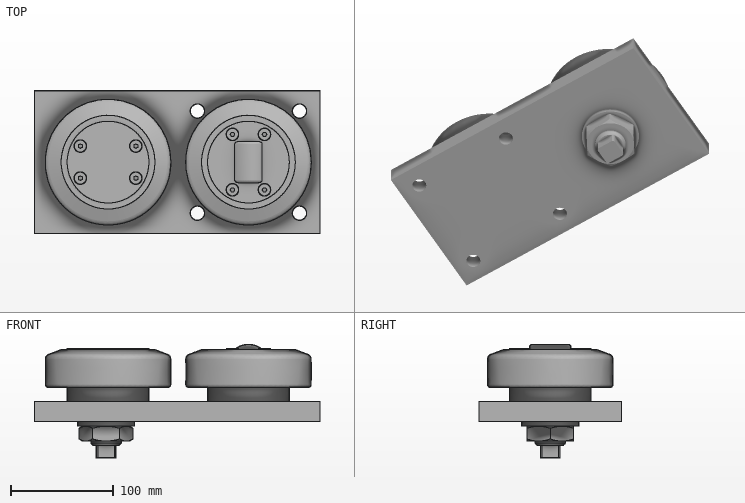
import cadquery as cq
import math

plate_length = 280.0
plate_width = 140.0
plate_thickness = 20.0
mount_hole_diameter = 13.7
mount_hole_spacing = 100.0

unit_offset = 69.7
eccentricity = 2.0
neck_diameter = 80.0
roller_bottom = 13.7
roller_top = 50.7
rim_diameter = 91.8
wall_radius = 61.3
wall_crown = 0.3
shoulder_height = 44.8
top_fillet = 5.0
bottom_fillet = 2.8

plain_cover_rise = 0.8
open_cover_rise = 0.3
screw_spacing_long = 54.3
screw_spacing_short = 31.5
screw_diameter = 11.8
screw_hole_diameter = 12.3
plain_cover_screw_rise = 0.5
open_cover_screw_rise = 0.8
screw_gap_depth = 0.5
socket_flats = 4.0
socket_depth = 1.0

cross_roller_radius = 21.0
cross_roller_crown = 0.15
cross_roller_length = 40.5
cross_roller_fillet = 2.8
cross_roller_top = 56.0

washer_diameter = 56.0
washer_thickness = 4.5
nut_flats = 46.0
nut_height = 14.5
nut_chamfer_angle = 30.0
stud_diameter = 30.0
stud_rise = 4.5
stud_chamfer = 2.5
square_size = 19.3
square_corner_diameter = 25.2
overall_height = 111.5
stud_bottom = cross_roller_top - overall_height


def cylinder(x, bottom, top, diameter):
    return cq.Workplane("XY", origin=(x, 0, bottom)).circle(diameter / 2).extrude(top - bottom)


def hexagon(flats, height):
    """Hexagonal prism from Z = 0 upward, with two corners on the X axis."""
    return cq.Workplane("XY").polygon(6, flats / math.cos(math.pi / 6)).extrude(height)


def make_plate():
    plate = cq.Workplane("XY").box(plate_length, plate_width, plate_thickness, centered=(True, True, False))
    holes = (
        cq.Workplane("XY")
        .center(unit_offset, 0)
        .rect(mount_hole_spacing, mount_hole_spacing, forConstruction=True)
        .vertices()
        .circle(mount_hole_diameter / 2)
        .extrude(plate_thickness)
    )
    return plate.cut(holes).translate((0, 0, -plate_thickness))


def make_roller(x):
    """Neck and roller with a slightly crowned wall and a conical top shoulder."""
    wall_middle = (roller_bottom + shoulder_height) / 2
    roller = (
        cq.Workplane("XZ")
        .moveTo(0, roller_bottom)
        .lineTo(wall_radius, roller_bottom)
        .threePointArc((wall_radius + wall_crown, wall_middle), (wall_radius, shoulder_height))
        .lineTo(rim_diameter / 2, roller_top)
        .lineTo(0, roller_top)
        .close()
        .revolve(360, (0, 0, 0), (0, 1, 0))
    )
    roller = roller.edges("%CIRCLE").edges(">>Z[-2]").fillet(top_fillet)
    roller = roller.faces("<Z").edges().fillet(bottom_fillet)
    return roller.translate((x, 0, 0)).union(cylinder(x, 0, roller_bottom, neck_diameter))


def make_covered_roller(x, cover_rise):
    """Roller with a round cover standing slightly above its top face."""
    return make_roller(x).union(cylinder(x, roller_top, roller_top + cover_rise, neck_diameter))


def add_screws(body, x, head_rise, spacing_x, spacing_y, socket_turn):
    """Add four screw heads, each in a narrow ring gap and with a hexagon socket."""
    gap_bottom = roller_top - screw_gap_depth
    gap_top = roller_top + max(plain_cover_rise, open_cover_rise)
    head_top = roller_top + head_rise
    gap = cylinder(0, gap_bottom, gap_top, screw_hole_diameter)
    socket = hexagon(socket_flats, socket_depth).translate((0, 0, head_top - socket_depth))
    socket = socket.rotate((0, 0, 0), (0, 0, 1), socket_turn)
    head = cylinder(0, gap_bottom, head_top, screw_diameter)
    for side_x in (-1, 1):
        for side_y in (-1, 1):
            place = (x + side_x * spacing_x / 2, side_y * spacing_y / 2, 0)
            body = body.cut(gap.translate(place)).union(head.translate(place)).cut(socket.translate(place))
    return body


def make_plain_unit(x):
    """Roller with a raised plain cover."""
    unit = make_covered_roller(x, plain_cover_rise)
    return add_screws(unit, x, plain_cover_screw_rise, screw_spacing_long, screw_spacing_short, 90)


def make_cross_roller_unit(x):
    """Roller with a nearly flush cover and a cross roller lying along Y."""
    unit = make_covered_roller(x, open_cover_rise)
    half_length = cross_roller_length / 2
    end_radius = cross_roller_radius - cross_roller_crown
    cross_roller = (
        cq.Workplane("XY")
        .moveTo(0, -half_length)
        .lineTo(end_radius, -half_length)
        .threePointArc((cross_roller_radius, 0), (end_radius, half_length))
        .lineTo(0, half_length)
        .close()
        .revolve(360, (0, 0, 0), (0, 1, 0))
        .faces("<Y or >Y")
        .edges()
        .fillet(cross_roller_fillet)
        .translate((x, 0, cross_roller_top - cross_roller_radius))
    )
    visible = cross_roller.intersect(cylinder(x, roller_top, cross_roller_top, neck_diameter))
    unit = unit.union(visible)
    return add_screws(unit, x, open_cover_screw_rise, screw_spacing_short, screw_spacing_long, 0)


def make_nut():
    """Hex nut standing on Z = 0, its corners trimmed by a cone at both ends."""
    inner_radius = nut_flats / 2
    corner_radius = inner_radius / math.cos(math.pi / 6)
    chamfer = (corner_radius - inner_radius) * math.tan(math.radians(nut_chamfer_angle))
    trim = (
        cq.Workplane("XZ")
        .moveTo(0, 0)
        .lineTo(inner_radius, 0)
        .lineTo(corner_radius, chamfer)
        .lineTo(corner_radius, nut_height - chamfer)
        .lineTo(inner_radius, nut_height)
        .lineTo(0, nut_height)
        .close()
        .revolve(360, (0, 0, 0), (0, 1, 0))
    )
    return hexagon(nut_flats, nut_height).intersect(trim)


def make_fastener(x):
    """Washer, nut and stud end, stacked downward from the plate."""
    washer_bottom = -plate_thickness - washer_thickness
    nut_bottom = washer_bottom - nut_height
    shoulder_bottom = nut_bottom - stud_rise
    washer = cylinder(x, washer_bottom, -plate_thickness, washer_diameter)
    nut = make_nut().translate((x, 0, nut_bottom))
    shoulder = cylinder(x, shoulder_bottom, nut_bottom, stud_diameter).faces("<Z").chamfer(stud_chamfer)
    square = (
        cq.Workplane("XY", origin=(x, 0, stud_bottom))
        .rect(square_size, square_size)
        .extrude(shoulder_bottom - stud_bottom)
        .intersect(cylinder(x, stud_bottom, shoulder_bottom, square_corner_diameter))
    )
    return washer.union(nut).union(shoulder).union(square)


result = (
    make_plate()
    .union(make_plain_unit(-unit_offset + eccentricity))
    .union(make_cross_roller_unit(unit_offset))
    .union(make_fastener(-unit_offset))
)